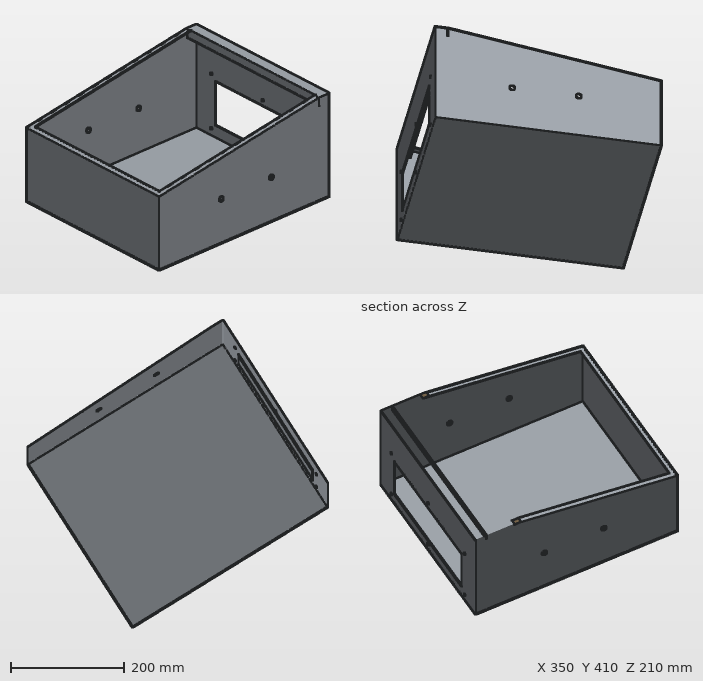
import cadquery as cq
width = 350.0
length = 410.0
rear_height = 210.0
front_height = 150.0
flat_top_depth = 25.0

sheet = 2.0
bend_radius = 1.85

flange_width = 12.0

lip_height = 19.0
lip_front_y = length - flat_top_depth

side_hole_diameter = 10.0
side_hole_z = 90.0
side_hole_front_y = 150.0
side_hole_pitch = 120.0

window_width = 247.5
window_height = 88.0
window_center_z = 70.0
screw_pitch_x = 135.0
screw_pitch_z = 110.0
screw_diameter = 4.5


def make_wedge_sketch():
    """Side outline with a sloping top and a short level stretch at the rear."""
    profile = [
        (0, 0),
        (length, 0),
        (length, rear_height),
        (lip_front_y, rear_height),
        (0, front_height),
    ]
    return cq.Workplane("YZ").polyline(profile).close()


def make_body():
    """Outer wedge with rounded bends; the slight fold in the top stays sharp."""
    body = make_wedge_sketch().extrude(width)
    fold_box = cq.selectors.BoxSelector(
        (0, lip_front_y - sheet, rear_height - sheet),
        (width, lip_front_y + sheet, rear_height + sheet),
    )
    fold_edge = body.edges("|X").edges(fold_box)
    bend_edges = [edge for edge in body.edges().vals() if not edge.isSame(fold_edge.val())]
    return body.newObject(bend_edges).fillet(bend_radius)


def make_cavity():
    """Inside of the closed sheet box, leaving the rear lip standing."""
    cavity = (
        make_wedge_sketch()
        .offset2D(-sheet, "intersection")
        .extrude(width - 2 * sheet)
        .translate((sheet, 0, 0))
    )
    lip = cq.Workplane("XY").box(width, sheet, lip_height, centered=False).translate(
        (0, lip_front_y, rear_height - lip_height)
    )
    return cavity.cut(lip)


def make_top_opening():
    """Opening in the sloping top, bounded by the flanges and the rounded bend of the lip."""
    return (
        cq.Workplane("YZ", origin=(flange_width, 0, 0))
        .moveTo(flange_width, sheet)
        .lineTo(lip_front_y, sheet)
        .lineTo(lip_front_y, rear_height - bend_radius)
        .radiusArc((lip_front_y + bend_radius, rear_height), bend_radius)
        .lineTo(flange_width, rear_height)
        .close()
        .extrude(width - 2 * flange_width)
    )


def make_side_holes():
    """Holes running across the full width."""
    centers = [
        (side_hole_front_y, side_hole_z),
        (side_hole_front_y + side_hole_pitch, side_hole_z),
    ]
    return cq.Workplane("YZ").pushPoints(centers).circle(side_hole_diameter / 2).extrude(width)


def make_rear_openings():
    """Window through the rear wall with a row of three screw holes above and below."""
    rear_plane = cq.Workplane("XZ", origin=(width / 2, length, window_center_z))
    window = rear_plane.rect(window_width, window_height).extrude(sheet)
    screws = (
        rear_plane.rarray(screw_pitch_x, screw_pitch_z, 3, 2)
        .circle(screw_diameter / 2)
        .extrude(sheet)
    )
    return window.union(screws)


result = (
    make_body()
    .cut(make_cavity())
    .cut(make_top_opening())
    .cut(make_side_holes())
    .cut(make_rear_openings())
)